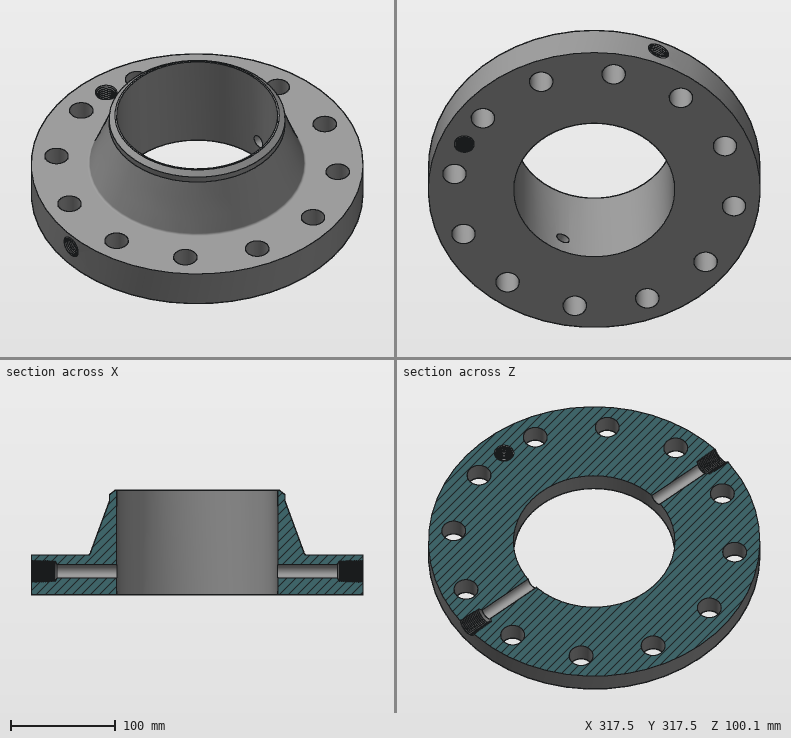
import cadquery as cq
import math

FLANGE_DIAMETER = 317.5
FLANGE_THICKNESS = 38.1
TOTAL_HEIGHT = 100.08
BORE_DIAMETER = 154.05

NECK_DIAMETER = 168.4
HUB_BASE_DIAMETER = 206.2
NECK_END_HEIGHT = 10.6
WELD_LAND = 1.6
BEVEL_ANGLE = 37.5
HUB_FILLET_RADIUS = 2.5

BOLT_COUNT = 12
BOLT_CIRCLE_DIAMETER = 269.9
BOLT_HOLE_DIAMETER = 22.4

JACK_MINOR_DIAMETER = 16.3
JACK_PITCH = 2.54
JACK_COUNTERSINK_DIAMETER = 20.6

TAP_HEIGHT = 22.5
TAP_MINOR_DIAMETER = 18.0
TAP_PITCH = 1.814
TAP_FLAT = 0.06
TAP_THREAD_COUNT = 13
TAP_TAPER = 1 / 16
TAP_DRILL_DIAMETER = 12.7
DRILL_POINT_ANGLE = 118.0

THREAD_ANGLE = 60.0

FLANGE_RADIUS = FLANGE_DIAMETER / 2
BORE_RADIUS = BORE_DIAMETER / 2
NECK_RADIUS = NECK_DIAMETER / 2
BOLT_CIRCLE_RADIUS = BOLT_CIRCLE_DIAMETER / 2


def make_body():
    """Flange and welding neck, revolved in one piece about Z."""
    land_radius = BORE_RADIUS + WELD_LAND
    bevel_height = (NECK_RADIUS - land_radius) * math.tan(math.radians(BEVEL_ANGLE))
    profile = (
        cq.Workplane("XZ")
        .moveTo(BORE_RADIUS, 0)
        .lineTo(FLANGE_RADIUS, 0)
        .lineTo(FLANGE_RADIUS, FLANGE_THICKNESS)
        .lineTo(HUB_BASE_DIAMETER / 2, FLANGE_THICKNESS)
        .lineTo(NECK_RADIUS, TOTAL_HEIGHT - NECK_END_HEIGHT)
        .lineTo(NECK_RADIUS, TOTAL_HEIGHT - bevel_height)
        .lineTo(land_radius, TOTAL_HEIGHT)
        .lineTo(BORE_RADIUS, TOTAL_HEIGHT)
        .close()
    )
    body = profile.revolve(360, (0, 0, 0), (0, 1, 0))
    hub_foot = cq.selectors.RadiusNthSelector(-2)
    return body.edges("%CIRCLE").edges(hub_foot).fillet(HUB_FILLET_RADIUS)


def make_bolt_holes():
    """Through holes straddling the X and Y axes."""
    half_step = 180 / BOLT_COUNT
    return (
        cq.Workplane("XY")
        .polarArray(BOLT_CIRCLE_RADIUS, half_step, 360, BOLT_COUNT)
        .circle(BOLT_HOLE_DIAMETER / 2)
        .extrude(FLANGE_THICKNESS)
    )


def thread_points(mouth_radius, pitch, count, crest_flat, root_flat, taper=0.0):
    """Wall of ring-shaped thread grooves as (radius, -depth), starting on a crest at depth 0.

    The mouth radius is the crest radius, taken at depth 0.
    """
    flank_length = (pitch - crest_flat - root_flat) / 2
    groove_depth = flank_length / math.tan(math.radians(THREAD_ANGLE / 2))
    points = [(mouth_radius, 0)]
    for groove in range(count):
        root_start = groove * pitch + crest_flat + flank_length
        root_end = root_start + root_flat
        groove_points = (
            (root_start - flank_length, 0),
            (root_start, groove_depth),
            (root_end, groove_depth),
            (root_end + flank_length, 0),
        )
        for depth, cut in groove_points:
            points.append((mouth_radius - depth * taper / 2 + cut, -depth))
    return points


def revolve_hole(wall_points):
    """Solid of a hole along -Z with its mouth at z = 0, from its wall points."""
    bottom_depth = wall_points[-1][1]
    outline = [(0, 0)] + wall_points + [(0, bottom_depth)]
    return cq.Workplane("XZ").polyline(outline).close().revolve(360, (0, 0, 0), (0, 1, 0))


def make_jack_screw_hole():
    """Countersunk threaded hole at -X; whole turns fill the flange thickness."""
    count = round(FLANGE_THICKNESS / JACK_PITCH)
    minor_radius = JACK_MINOR_DIAMETER / 2
    wall = thread_points(minor_radius, JACK_PITCH, count, JACK_PITCH / 4, JACK_PITCH / 8)
    mouth_radius = JACK_COUNTERSINK_DIAMETER / 2
    countersink_depth = mouth_radius - minor_radius
    countersink = revolve_hole([(mouth_radius, 0), (minor_radius, -countersink_depth)])
    hole = revolve_hole(wall).union(countersink)
    return hole.translate((-BOLT_CIRCLE_RADIUS, 0, FLANGE_THICKNESS))


def make_pressure_tap():
    """Taper-threaded tap at -Y: thread, drill point cone, then a plain hole into the bore."""
    wall = thread_points(
        TAP_MINOR_DIAMETER / 2, TAP_PITCH, TAP_THREAD_COUNT, TAP_FLAT, TAP_FLAT, TAP_TAPER
    )
    thread_end_radius, thread_end = wall[-1]
    drill_radius = TAP_DRILL_DIAMETER / 2
    half_point_angle = math.radians(DRILL_POINT_ANGLE / 2)
    cone_length = (thread_end_radius - drill_radius) / math.tan(half_point_angle)
    wall.append((drill_radius, thread_end - cone_length))
    inside_bore = FLANGE_RADIUS - BORE_RADIUS / 2
    wall.append((drill_radius, -inside_bore))
    hole = revolve_hole(wall)
    return hole.rotate((0, 0, 0), (1, 0, 0), 90).translate((0, -FLANGE_RADIUS, TAP_HEIGHT))


pressure_tap = make_pressure_tap()

result = make_body().cut(make_bolt_holes()).cut(make_jack_screw_hole())
for tap_angle in (0, 180):
    result = result.cut(pressure_tap.rotate((0, 0, 0), (0, 0, 1), tap_angle))